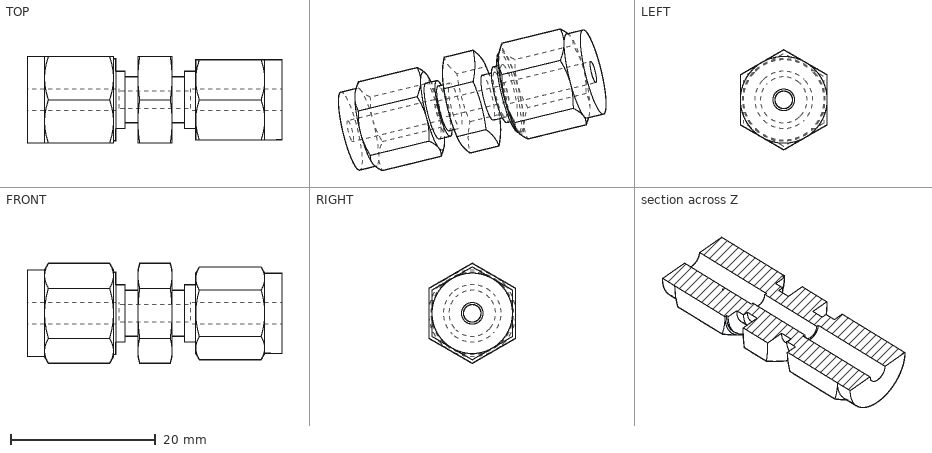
import cadquery as cq
import math

length = 35.2
left_end = -length / 2
right_end = length / 2

left_nut_flats = 12.0
right_nut_flats = 11.12
nut_hex_length = 9.55
left_collar_length = 2.35
right_collar_length = 2.4
nut_chamfer_angle = 30.0

washer_diameter = 11.4
washer_thickness = 0.3

body_flats = left_nut_flats
body_hex_length = 4.7
body_hex_start = -2.32
body_chamfer_angle = 15.0
neck_diameter = 6.4
thread_diameter = 7.95
left_thread_end = -4.1
right_thread_start = 4.1

bore_diameter = 2.4
socket_diameter = 3.0
socket_depth = 12.67

left_hex_start = left_end + left_collar_length
left_hex_end = left_hex_start + nut_hex_length
right_hex_end = right_end - right_collar_length
right_hex_start = right_hex_end - nut_hex_length


def cylinder(start, end, diameter):
    """Round bar along X between two stations."""
    return cq.Workplane("YZ", origin=(start, 0, 0)).circle(diameter / 2).extrude(end - start)


def chamfered_hexagon(start, end, flats, chamfer_angle):
    """Hexagon along X, corners up and down, with conical chamfers on both ends."""
    flat_radius = flats / 2
    corner_radius = flat_radius / math.cos(math.radians(30))
    chamfer_length = (corner_radius - flat_radius) * math.tan(math.radians(chamfer_angle))
    hexagon = (
        cq.Workplane("YZ", origin=(start, 0, 0))
        .polygon(6, 2 * corner_radius)
        .extrude(end - start)
        .rotate((0, 0, 0), (1, 0, 0), 90)
    )
    envelope = (
        cq.Workplane("XY")
        .moveTo(start, 0)
        .lineTo(start, flat_radius)
        .lineTo(start + chamfer_length, corner_radius)
        .lineTo(end - chamfer_length, corner_radius)
        .lineTo(end, flat_radius)
        .lineTo(end, 0)
        .close()
        .revolve(360, (0, 0, 0), (1, 0, 0))
    )
    return hexagon.intersect(envelope)


def make_body():
    hexagon = chamfered_hexagon(
        body_hex_start, body_hex_start + body_hex_length, body_flats, body_chamfer_angle
    )
    neck = cylinder(left_hex_end, right_hex_start, neck_diameter)
    left_thread = cylinder(left_hex_end, left_thread_end, thread_diameter)
    right_thread = cylinder(right_thread_start, right_hex_start, thread_diameter)
    return hexagon.union(neck).union(left_thread).union(right_thread)


def make_left_nut():
    collar = cylinder(left_end, left_hex_start, left_nut_flats)
    hexagon = chamfered_hexagon(left_hex_start, left_hex_end, left_nut_flats, nut_chamfer_angle)
    washer = cylinder(left_hex_end, left_hex_end + washer_thickness, washer_diameter)
    return collar.union(hexagon).union(washer)


def make_right_nut():
    hexagon = chamfered_hexagon(right_hex_start, right_hex_end, right_nut_flats, nut_chamfer_angle)
    collar = cylinder(right_hex_end, right_end, right_nut_flats)
    return hexagon.union(collar)


def make_passage():
    bore = cylinder(left_end, right_end, bore_diameter)
    left_socket = cylinder(left_end, left_end + socket_depth, socket_diameter)
    right_socket = cylinder(right_end - socket_depth, right_end, socket_diameter)
    return bore.union(left_socket).union(right_socket)


result = make_body().union(make_left_nut()).union(make_right_nut()).cut(make_passage())